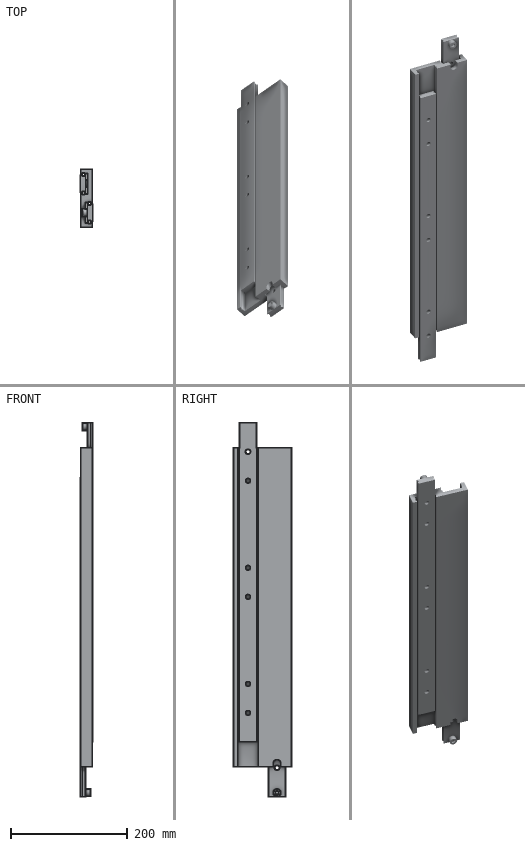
import cadquery as cq

total_thickness = 22
rail_protrusion = 1
width = 100
length = 550
total_length = 644.51

lower_travel = 51.4
upper_travel = total_length - length - lower_travel

rail_offset = 25
rail_width = 30
rail_thickness = 10
side_gap = 2.5
floor_gap = 3

raceway_diameter = 5.5
raceway_depth = 6
raceway_spacing = 32

hole_diameter = 8
pair_pitch = 200
pair_spacing = 50
first_hole = 50
pair_count = 3

head_diameter = 13
head_height = 8
head_inset = 7
socket_size = 6
socket_depth = 4
notch_width = head_diameter
notch_centre_depth = 6

carrier_thickness = total_thickness - 2 * rail_protrusion
channel_width = rail_width + 2 * side_gap
rail_outer_face = -total_thickness / 2
rail_inner_face = rail_outer_face + rail_thickness
channel_floor = rail_inner_face + floor_gap
raceway_x = rail_outer_face + raceway_depth
carrier_bottom = -length / 2
hex_corner_ratio = 2 / 3**0.5
hex_turn = 30


def full_length_bar(x_end, y_size, bottom):
    """Bar from the rail's outer face to x_end, centred on the rail line in Y."""
    x_size = x_end - rail_outer_face
    return (
        cq.Workplane("XY", origin=(rail_outer_face + x_size / 2, rail_offset, bottom))
        .rect(x_size, y_size)
        .extrude(length)
    )


def raceways(bottom):
    """The two round ball tracks at the edges of a rail."""
    return (
        cq.Workplane("XY", origin=(raceway_x, rail_offset, bottom))
        .rarray(1, raceway_spacing, 1, 2)
        .circle(raceway_diameter / 2)
        .extrude(length)
    )


def opposite(body):
    """Turn a body end for end and move it from the -X channel to the +X channel."""
    return body.rotate((0, 0, 0), (0, 1, 0), 180).translate((0, -2 * rail_offset, 0))


def stop_notch():
    """Round-ended notch at the lower end, through the web behind the channel."""
    notch_depth = carrier_thickness / 2 - rail_inner_face
    round_end = (
        cq.Workplane("YZ", origin=(rail_inner_face, rail_offset, carrier_bottom + notch_centre_depth))
        .circle(notch_width / 2)
        .extrude(notch_depth)
    )
    mouth = (
        cq.Workplane("YZ", origin=(rail_inner_face, rail_offset, carrier_bottom))
        .rect(notch_width, 2 * notch_centre_depth)
        .extrude(notch_depth)
    )
    return round_end.union(mouth)


def make_carrier():
    """Flat bar with a rail channel, ball tracks and stop notch on each face."""
    channel = full_length_bar(channel_floor, channel_width, carrier_bottom)
    rail_space = channel.union(raceways(carrier_bottom)).union(stop_notch())
    block = cq.Workplane("XY").box(carrier_thickness, width, length)
    return block.cut(rail_space).cut(opposite(rail_space))


def mounting_holes(bottom):
    """Through holes in pairs along a rail that starts at the given height."""
    places = []
    for pair in range(pair_count):
        pair_start = first_hole + pair * pair_pitch
        places.append((0, pair_start))
        places.append((0, pair_start + pair_spacing))
    return (
        cq.Workplane("YZ", origin=(rail_outer_face, rail_offset, bottom))
        .pushPoints(places)
        .circle(hole_diameter / 2)
        .extrude(rail_thickness)
    )


def stop_screw_head(bottom):
    """Cylindrical head with a hexagon socket, standing on the rail's inner face."""
    return (
        cq.Workplane("YZ", origin=(rail_inner_face, rail_offset, bottom + head_inset))
        .circle(head_diameter / 2)
        .extrude(head_height)
        .faces(">X")
        .workplane()
        .transformed(rotate=(0, 0, hex_turn))
        .polygon(6, socket_size * hex_corner_ratio)
        .cutBlind(-socket_depth)
    )


def make_rail(travel):
    """Rail in the -X channel, pushed out of the carrier's lower end by the given travel."""
    bottom = carrier_bottom - travel
    bar = full_length_bar(rail_inner_face, rail_width, bottom)
    drilled_bar = bar.cut(raceways(bottom)).cut(mounting_holes(bottom))
    return drilled_bar.union(stop_screw_head(bottom))


carrier = make_carrier()
lower_rail = make_rail(lower_travel)
upper_rail = opposite(make_rail(upper_travel))

bodies = [carrier, lower_rail, upper_rail]
result = cq.Compound.makeCompound([body.solids().val() for body in bodies])